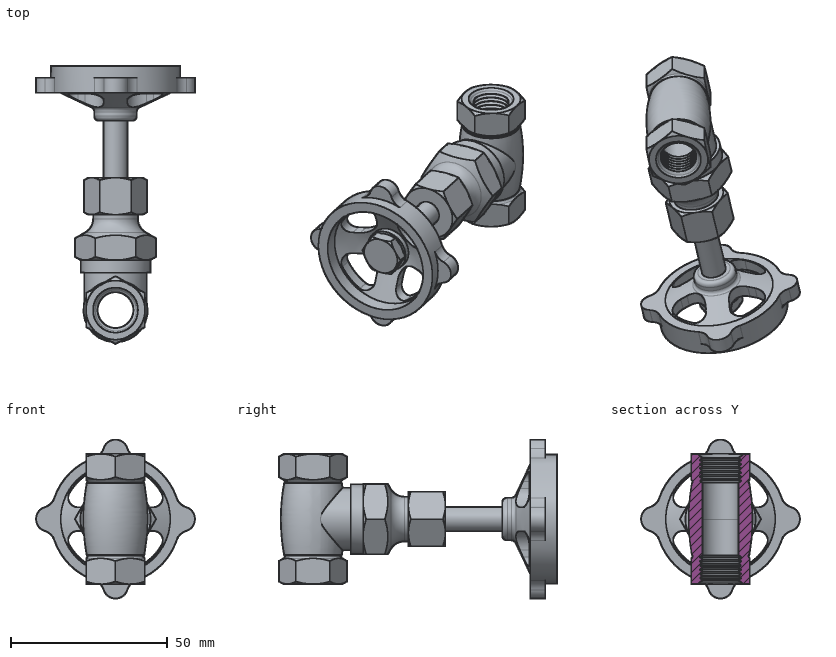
import cadquery as cq
import math


OVERALL_LENGTH = 88.7
HEX_BEVEL_ANGLE = math.radians(30)
HEX_BEVEL_SLOPE = math.tan(HEX_BEVEL_ANGLE)

PORT_END_Z = 20.8
PORT_FLATS = 18.8
PORT_CORNER_RADIUS = PORT_FLATS / math.sqrt(3)
BARREL_MID_RADIUS = 10.3
BARREL_END_RADIUS = 9.2
BARREL_END_Z = 11.45
PORT_NECK_RADIUS = 9.0
PORT_NECK_Z = 11.7
PORT_FLARE_RADIUS = 1.0
BRANCH_RADIUS = 10.0
COLLAR_RADIUS = 11.2
COLLAR_START_Y = 12.0
COLLAR_END_Y = 16.0

BORE_RADIUS = 5.7
THREAD_ROOT_RADIUS = 6.6
PORT_MOUTH_RADIUS = 7.2
THREAD_PITCH = 1.3
THREAD_COUNT = 6
GROOVE_HALF_WIDTH = 0.6

BONNET_FLATS = 22.45
BONNET_END_Y = 30.4
BONNET_NECK_RADIUS = 7.2
BONNET_FLARE_RADIUS = 5.0
BONNET_FLARE_START_Y = 29.1

PACKING_FLATS = 17.5
PACKING_END_Y = 42.2

STEM_RADIUS = 3.9
WHEEL_NUT_FLATS = 12.0
WHEEL_NUT_LENGTH = 4.0

WHEEL_BACK_Y = OVERALL_LENGTH - PORT_CORNER_RADIUS
RIM_WIDTH = 8.6
RIM_FRONT_Y = WHEEL_BACK_Y - RIM_WIDTH
RIM_RADIUS = 20.7
RIM_BORE_RADIUS = 17.3
WEB_THICKNESS = 4.0
HUB_FRONT_Y = 60.3
HUB_BACK_Y = 70.3
HUB_RADIUS = 6.8
HUB_ROUND = 1.6
HUB_FILLET = 1.5
CONE_OUTER_RADIUS = 17.5
CONE_INNER_Y = 64.2

LOBE_THICKNESS = 4.9
LOBE_REACH = 25.4
LOBE_TIP_RADIUS = 4.0
LOBE_FILLET = 4.7
LOBE_COUNT = 4

SPOKE_HALF_WIDTH = 3.8
WINDOW_OUTER_RADIUS = 16.9
WINDOW_INNER_ROUND = 6.0
WINDOW_CORNER_RADIUS = 3.0
WINDOW_COUNT = 4


def cylinder(radius, start_y, end_y):
    """Cylinder on the Y axis."""
    return cq.Workplane("XZ", origin=(0, start_y, 0)).circle(radius).extrude(start_y - end_y)


def hex_bar(flats, start_y, end_y):
    """Hexagonal bar on the Y axis with corners on +X and -X."""
    corner_diameter = 2 * flats / math.sqrt(3)
    return cq.Workplane("XZ", origin=(0, start_y, 0)).polygon(6, corner_diameter).extrude(start_y - end_y)


def bevelled_hex(flats, start_y, end_y):
    """Hexagonal nut blank on the Y axis with both ends turned to a bevel."""
    flat_radius = flats / 2
    corner_radius = flats / math.sqrt(3)
    bevel = (corner_radius - flat_radius) * HEX_BEVEL_SLOPE
    turned = (
        cq.Workplane("XY")
        .moveTo(0, start_y)
        .lineTo(flat_radius, start_y)
        .lineTo(corner_radius, start_y + bevel)
        .lineTo(corner_radius, end_y - bevel)
        .lineTo(flat_radius, end_y)
        .lineTo(0, end_y)
        .close()
        .revolve(360, (0, 0), (0, 1))
    )
    return hex_bar(flats, start_y, end_y).intersect(turned)


def flared_hex(flats, hex_end_y, neck_end_y, neck_radius, flare_radius, flare_start_y):
    """Hexagon on the Y axis whose inner bevel runs through a tangent flare into a round neck."""
    flat_radius = flats / 2
    corner_radius = flats / math.sqrt(3)
    toward_neck = math.copysign(1, neck_end_y - hex_end_y)
    bevel = (corner_radius - flat_radius) * HEX_BEVEL_SLOPE
    turn = math.pi / 2 - HEX_BEVEL_ANGLE
    flare_end_radius = neck_radius + flare_radius * (1 - math.cos(turn))
    flare_end_y = flare_start_y - toward_neck * flare_radius * math.sin(turn)
    corner_y = flare_end_y - toward_neck * (corner_radius - flare_end_radius) * HEX_BEVEL_SLOPE
    flare_mid = (
        neck_radius + flare_radius * (1 - math.cos(turn / 2)),
        flare_start_y - toward_neck * flare_radius * math.sin(turn / 2),
    )
    turned = (
        cq.Workplane("XY")
        .moveTo(0, hex_end_y)
        .lineTo(flat_radius, hex_end_y)
        .lineTo(corner_radius, hex_end_y + toward_neck * bevel)
        .lineTo(corner_radius, corner_y)
        .lineTo(flare_end_radius, flare_end_y)
        .threePointArc(flare_mid, (neck_radius, flare_start_y))
        .lineTo(neck_radius, neck_end_y)
        .lineTo(0, neck_end_y)
        .close()
        .revolve(360, (0, 0), (0, 1))
    )
    return hex_bar(flats, min(hex_end_y, neck_end_y), max(hex_end_y, neck_end_y)).intersect(turned)


def make_barrel():
    """Bulged barrel between the two port necks."""
    return (
        cq.Workplane("XZ")
        .moveTo(0, -PORT_NECK_Z)
        .lineTo(PORT_NECK_RADIUS, -PORT_NECK_Z)
        .lineTo(BARREL_END_RADIUS, -BARREL_END_Z)
        .threePointArc((BARREL_MID_RADIUS, 0), (BARREL_END_RADIUS, BARREL_END_Z))
        .lineTo(PORT_NECK_RADIUS, PORT_NECK_Z)
        .lineTo(0, PORT_NECK_Z)
        .close()
        .revolve(360, (0, 0), (0, 1))
    )


def make_port_cutter():
    """Threaded port cavity from the middle of the body up to the upper mouth."""
    thread_start_z = PORT_END_Z - (PORT_MOUTH_RADIUS - THREAD_ROOT_RADIUS)
    profile = (
        cq.Workplane("XZ")
        .moveTo(0, PORT_END_Z)
        .lineTo(PORT_MOUTH_RADIUS, PORT_END_Z)
        .lineTo(THREAD_ROOT_RADIUS, thread_start_z)
        .lineTo(BORE_RADIUS, thread_start_z - GROOVE_HALF_WIDTH)
    )
    for ring in range(1, THREAD_COUNT + 1):
        root_z = thread_start_z - ring * THREAD_PITCH
        profile = (
            profile.lineTo(BORE_RADIUS, root_z + GROOVE_HALF_WIDTH)
            .lineTo(THREAD_ROOT_RADIUS, root_z)
            .lineTo(BORE_RADIUS, root_z - GROOVE_HALF_WIDTH)
        )
    return profile.lineTo(BORE_RADIUS, 0).lineTo(0, 0).close().revolve(360, (0, 0), (0, 1))


def make_valve_body():
    port_hex = flared_hex(
        PORT_FLATS, PORT_END_Z, BARREL_END_Z, PORT_NECK_RADIUS, PORT_FLARE_RADIUS, PORT_NECK_Z
    )
    upper_hex = port_hex.rotate((0, 0, 0), (1, 0, 0), 90).rotate((0, 0, 0), (0, 0, 1), 90)
    upper_cutter = make_port_cutter()
    body = make_barrel()
    body = body.union(cylinder(BRANCH_RADIUS, 0, COLLAR_END_Y))
    body = body.union(cylinder(COLLAR_RADIUS, COLLAR_START_Y, COLLAR_END_Y))
    body = body.union(upper_hex).union(upper_hex.mirror("XY"))
    return body.cut(upper_cutter).cut(upper_cutter.mirror("XY"))


def make_bonnet():
    blank = flared_hex(
        BONNET_FLATS,
        COLLAR_END_Y,
        BONNET_END_Y,
        BONNET_NECK_RADIUS,
        BONNET_FLARE_RADIUS,
        BONNET_FLARE_START_Y,
    )
    return blank.cut(cylinder(STEM_RADIUS, COLLAR_END_Y, BONNET_END_Y))


def make_packing_nut():
    blank = bevelled_hex(PACKING_FLATS, BONNET_END_Y, PACKING_END_Y)
    return blank.cut(cylinder(STEM_RADIUS, BONNET_END_Y, PACKING_END_Y))


def make_stem():
    return cylinder(STEM_RADIUS, COLLAR_END_Y, HUB_BACK_Y)


def make_wheel_nut():
    return bevelled_hex(WHEEL_NUT_FLATS, HUB_BACK_Y, HUB_BACK_Y + WHEEL_NUT_LENGTH)


def web_back_y(radius):
    """Back face of the web, parallel to its conical front."""
    slope = (RIM_FRONT_Y - CONE_INNER_Y) / (CONE_OUTER_RADIUS - HUB_RADIUS)
    return CONE_INNER_Y + WEB_THICKNESS + slope * (radius - HUB_RADIUS)


def make_wheel_disc():
    """Turned handwheel blank: hub, conical web and rim."""
    cone_angle = math.atan2(RIM_FRONT_Y - CONE_INNER_Y, CONE_OUTER_RADIUS - HUB_RADIUS)
    tangent_length = HUB_FILLET * math.tan((math.pi / 2 - cone_angle) / 2)
    fillet_end = (
        HUB_RADIUS + tangent_length * math.cos(cone_angle),
        CONE_INNER_Y + tangent_length * math.sin(cone_angle),
    )
    return (
        cq.Workplane("XY")
        .moveTo(0, HUB_FRONT_Y)
        .lineTo(HUB_RADIUS - HUB_ROUND, HUB_FRONT_Y)
        .tangentArcPoint((HUB_RADIUS, HUB_FRONT_Y + HUB_ROUND), relative=False)
        .lineTo(HUB_RADIUS, CONE_INNER_Y - tangent_length)
        .tangentArcPoint(fillet_end, relative=False)
        .lineTo(CONE_OUTER_RADIUS, RIM_FRONT_Y)
        .lineTo(RIM_RADIUS, RIM_FRONT_Y)
        .lineTo(RIM_RADIUS, WHEEL_BACK_Y)
        .lineTo(RIM_BORE_RADIUS, WHEEL_BACK_Y)
        .lineTo(RIM_BORE_RADIUS, web_back_y(RIM_BORE_RADIUS))
        .lineTo(HUB_RADIUS, web_back_y(HUB_RADIUS))
        .lineTo(HUB_RADIUS, HUB_BACK_Y)
        .lineTo(0, HUB_BACK_Y)
        .close()
        .revolve(360, (0, 0), (0, 1))
    )


def make_lobe():
    """Grip lobe on +X: a round tip running through two concave fillets into the rim."""
    tip_center = LOBE_REACH - LOBE_TIP_RADIUS
    fillet_distance = RIM_RADIUS + LOBE_FILLET
    tip_distance = LOBE_TIP_RADIUS + LOBE_FILLET
    fillet_x = (fillet_distance**2 - tip_distance**2 + tip_center**2) / (2 * tip_center)
    fillet_z = math.sqrt(fillet_distance**2 - fillet_x**2)
    root_x = fillet_x * RIM_RADIUS / fillet_distance
    root_z = fillet_z * RIM_RADIUS / fillet_distance
    tangent_x = tip_center + (fillet_x - tip_center) * LOBE_TIP_RADIUS / tip_distance
    tangent_z = fillet_z * LOBE_TIP_RADIUS / tip_distance
    inner_x = (CONE_OUTER_RADIUS + RIM_RADIUS) / 2
    return (
        cq.Workplane("XZ", origin=(0, RIM_FRONT_Y, 0))
        .moveTo(inner_x, -root_z)
        .lineTo(root_x, -root_z)
        .radiusArc((tangent_x, -tangent_z), LOBE_FILLET)
        .threePointArc((LOBE_REACH, 0), (tangent_x, tangent_z))
        .radiusArc((root_x, root_z), LOBE_FILLET)
        .lineTo(inner_x, root_z)
        .close()
        .extrude(-LOBE_THICKNESS)
    )


def make_window():
    """Cutter for the window between the +X and +Z spokes."""
    flat_end = math.sqrt(
        (WINDOW_OUTER_RADIUS - WINDOW_CORNER_RADIUS) ** 2 - (SPOKE_HALF_WIDTH + WINDOW_CORNER_RADIUS) ** 2
    )
    inner_end = SPOKE_HALF_WIDTH + WINDOW_INNER_ROUND
    corner_center_z = SPOKE_HALF_WIDTH + WINDOW_CORNER_RADIUS
    stretch = WINDOW_OUTER_RADIUS / (WINDOW_OUTER_RADIUS - WINDOW_CORNER_RADIUS)
    rim_far = flat_end * stretch
    rim_near = corner_center_z * stretch
    rim_mid = WINDOW_OUTER_RADIUS / math.sqrt(2)
    return (
        cq.Workplane("XZ", origin=(0, HUB_FRONT_Y, 0))
        .moveTo(inner_end, SPOKE_HALF_WIDTH)
        .lineTo(flat_end, SPOKE_HALF_WIDTH)
        .tangentArcPoint((rim_far, rim_near), relative=False)
        .threePointArc((rim_mid, rim_mid), (rim_near, rim_far))
        .tangentArcPoint((SPOKE_HALF_WIDTH, flat_end), relative=False)
        .lineTo(SPOKE_HALF_WIDTH, inner_end)
        .tangentArcPoint((inner_end, SPOKE_HALF_WIDTH), relative=False)
        .close()
        .extrude(HUB_FRONT_Y - WHEEL_BACK_Y)
    )


def make_handwheel():
    wheel = make_wheel_disc()
    lobe = make_lobe()
    for index in range(LOBE_COUNT):
        wheel = wheel.union(lobe.rotate((0, 0, 0), (0, 1, 0), index * 360 / LOBE_COUNT))
    window = make_window()
    for index in range(WINDOW_COUNT):
        wheel = wheel.cut(window.rotate((0, 0, 0), (0, 1, 0), index * 360 / WINDOW_COUNT))
    return wheel.cut(cylinder(STEM_RADIUS, HUB_FRONT_Y, HUB_BACK_Y))


valve_body = make_valve_body()
bonnet = make_bonnet()
packing_nut = make_packing_nut()
stem = make_stem()
handwheel = make_handwheel()
wheel_nut = make_wheel_nut()

result = cq.Compound.makeCompound(
    [
        valve_body.val(),
        bonnet.val(),
        packing_nut.val(),
        stem.val(),
        handwheel.val(),
        wheel_nut.val(),
    ]
)